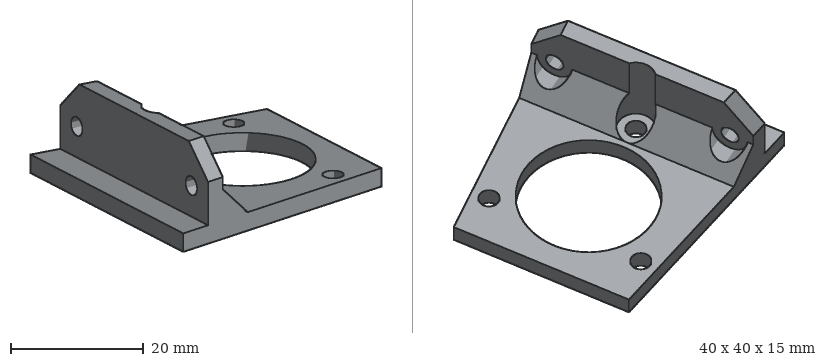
import cadquery as cq
import math

front_width = 40.0
back_width = 30.0
depth = 40.0
base_thickness = 3.0

total_height = 15.0
wall_front = 5.0
wall_thickness = 3.0
gusset_size = 5.0
corner_chamfer = 5.0
wall_back = wall_front + wall_thickness
gusset_top = base_thickness + gusset_size

bore_diameter = 22.0
bore_y = 25.0
bolt_circle_radius = 15.0
screw_diameter = 3.2
wall_hole_diameter = 3.0
head_diameter = 6.0
wall_hole_x = 15.0
wall_hole_z = 8.0


def vertical_cylinder(x, y, z, diameter):
    """Cutter rising from height z past the top of the part."""
    return cq.Workplane("XY", origin=(x, y, z)).circle(diameter / 2).extrude(total_height)


def rearward_cylinder(x, y, z, diameter):
    """Cutter running from depth y toward the back of the part."""
    return cq.Workplane("XZ", origin=(x, y, z)).circle(diameter / 2).extrude(-depth)


def make_body():
    """Side profile trimmed to the tapered plan, with the wall's top corners cut off."""
    profile = (
        cq.Workplane("YZ")
        .polyline([
            (0, 0),
            (depth, 0),
            (depth, base_thickness),
            (wall_back + gusset_size, base_thickness),
            (wall_back, gusset_top),
            (wall_back, total_height),
            (wall_front, total_height),
            (wall_front, base_thickness),
            (0, base_thickness),
        ])
        .close()
        .extrude(front_width / 2, both=True)
    )
    plan = (
        cq.Workplane("XY")
        .polyline([
            (-front_width / 2, 0),
            (front_width / 2, 0),
            (back_width / 2, depth),
            (-back_width / 2, depth),
        ])
        .close()
        .extrude(total_height)
    )
    body = profile.intersect(plan)
    top_side_edges = body.faces(">Z").edges("<X or >X")
    return top_side_edges.chamfer(corner_chamfer)


def cut_base_holes(body):
    """Large bore and three screw holes spaced evenly around it."""
    body = body.cut(vertical_cylinder(0, bore_y, 0, bore_diameter))
    for angle in (30, 150, 270):
        x = bolt_circle_radius * math.cos(math.radians(angle))
        y = bore_y + bolt_circle_radius * math.sin(math.radians(angle))
        body = body.cut(vertical_cylinder(x, y, 0, screw_diameter))
        body = body.cut(vertical_cylinder(x, y, base_thickness, head_diameter))
    return body


def cut_wall_holes(body):
    """Screw holes through the wall, with head clearance through the gusset."""
    for x in (-wall_hole_x, wall_hole_x):
        body = body.cut(rearward_cylinder(x, 0, wall_hole_z, wall_hole_diameter))
        body = body.cut(rearward_cylinder(x, wall_back, wall_hole_z, head_diameter))
    return body


result = cut_wall_holes(cut_base_holes(make_body()))